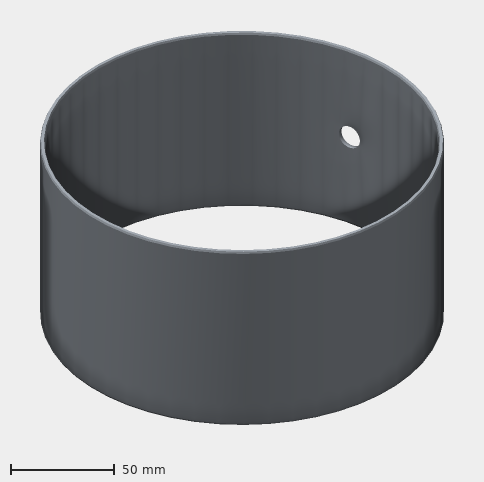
import cadquery as cq

outer_diameter = 195.0
height = 100.0
wall = 2.3

bevel_width = 0.45
bevel_height = 1.0

hole_diameter = 12.0
hole_height = height / 2

outer_radius = outer_diameter / 2
inner_radius = outer_radius - wall


def make_ring():
    """Revolve the bevelled wall section about Z, with the base at Z = 0."""
    section = [
        (inner_radius + bevel_width, 0),
        (outer_radius - bevel_width, 0),
        (outer_radius, bevel_height),
        (outer_radius, height - bevel_height),
        (outer_radius - bevel_width, height),
        (inner_radius + bevel_width, height),
        (inner_radius, height - bevel_height),
        (inner_radius, bevel_height),
    ]
    profile = cq.Workplane("XZ").polyline(section).close()
    return profile.revolve(360, (0, 0), (0, 1))


def make_hole_cutter():
    """Radial cylinder reaching from the axis out past the +Y wall."""
    return (
        cq.Workplane("XZ")
        .center(0, hole_height)
        .circle(hole_diameter / 2)
        .extrude(-outer_diameter)
    )


result = make_ring().cut(make_hole_cutter())